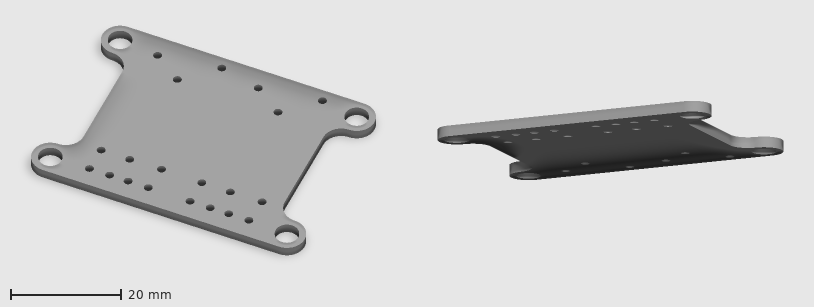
import cadquery as cq
import math

board_width = 20.0
board_length = 38.5
thickness = 2.0

ear_radius = 3.5
ear_hole_diameter = 4.5

pin_hole_diameter = 1.6
left_column = -5.7
middle_column = -0.05
right_column = 6.2
lower_row = -10.5
row_outer_spacing = 11.65
row_inner_spacing = 3.65
row_y = -15.5

upper_holes = [(left_column, 15.0), (middle_column, 11.0), (right_column, 16.85)]
lower_holes = [(left_column, lower_row), (middle_column, lower_row), (right_column, -10.35)]
row_holes = [
    (side * spacing / 2, row_y)
    for spacing in (row_outer_spacing, row_inner_spacing)
    for side in (-1, 1)
]


def make_board(center_x):
    """Rectangular board with its pattern of small through holes."""
    return (
        cq.Workplane("XY")
        .rect(board_width, board_length)
        .extrude(thickness)
        .faces(">Z")
        .workplane(origin=(0, 0, thickness))
        .pushPoints(upper_holes + lower_holes + row_holes)
        .hole(pin_hole_diameter)
        .translate((center_x, 0, 0))
    )


def make_ear(side_x, side_y):
    """Round mounting ear on one corner, with a concave blend towards the board edge."""
    edge_x = board_width
    center_x = edge_x + ear_radius
    top_y = board_length / 2
    center_y = top_y - ear_radius
    bottom_y = center_y - ear_radius
    blend_end_y = bottom_y - ear_radius
    blend_reach = ear_radius * math.sqrt(0.5)
    blend_middle = (center_x - blend_reach, blend_end_y + blend_reach)

    def corner(x, y):
        return (side_x * x, side_y * y)

    body = (
        cq.Workplane("XY")
        .moveTo(*corner(edge_x, top_y))
        .lineTo(*corner(center_x, top_y))
        .threePointArc(corner(center_x + ear_radius, center_y), corner(center_x, bottom_y))
        .threePointArc(corner(*blend_middle), corner(edge_x, blend_end_y))
        .close()
        .extrude(thickness)
    )
    hole = (
        cq.Workplane("XY")
        .center(*corner(center_x, center_y))
        .circle(ear_hole_diameter / 2)
        .extrude(thickness)
    )
    return body.cut(hole)


boards = [make_board(side * board_width / 2) for side in (-1, 1)]

ears = [make_ear(side_x, side_y) for side_x in (-1, 1) for side_y in (-1, 1)]

result = cq.Compound.makeCompound([body.solids().val() for body in boards + ears])